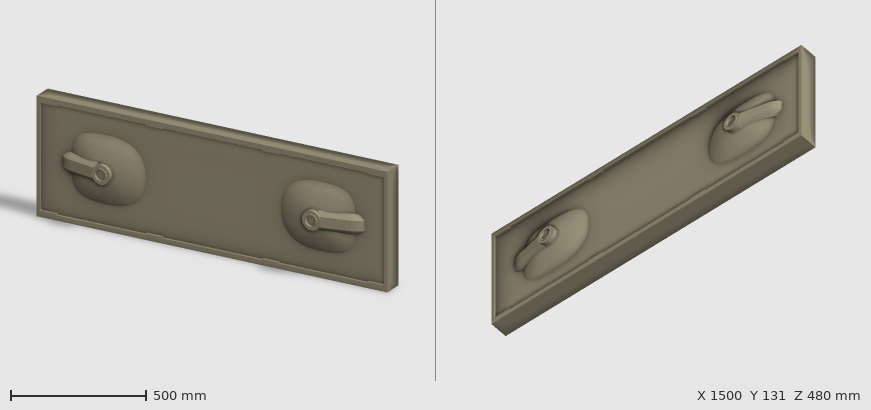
import cadquery as cq


LENGTH = 1500.0
WIDTH = 480.0
SLAB_THICKNESS = 81.0
RECESS_DEPTH = 12.0
SIDE_RIM = 14.0
LONG_RIM = 21.0
RECESS_CORNER_RADIUS = 6.0
PAD_HEIGHT = 5.0
CORNER_PAD_END = 665.0
MIDDLE_PAD_START = 215.0
MIDDLE_PAD_END = 284.0

DRAIN_SPACING = 900.0
BOWL_OFFSET = 3.0
BOWL_OUTER_REACH = 158.0
BOWL_INNER_REACH = 164.0
BOWL_HALF_WIDTH = 138.0
OUTER_FULLNESS = 0.81
INNER_FULLNESS = 0.66
BOWL_HEIGHT = 39.0
BOWL_SECTION_SCALES = (1.0, 0.9, 0.75, 0.55, 0.32)

DRAIN_BOTTOM_Y = -50.0
FLANGE_RADIUS = 44.0
FLANGE_THICKNESS = 3.0
DRAIN_RADIUS = 39.0
OUTLET_RADIUS = 27.0
OUTLET_LENGTH = 5.0
BORE_RADIUS = 22.0
BORE_DEPTH = 12.0

CHANNEL_TOP_HALF_WIDTH = 21.0
CHANNEL_EDGE_HALF_WIDTH = 30.0
CHANNEL_BASE_HALF_WIDTH = 40.0
CHANNEL_CHAMFER_DEPTH = 8.0
CHANNEL_SIDE_DEPTH = 18.0
CHANNEL_DEPTH = 45.0
CHANNEL_START = (25.0, -44.0)
CHANNEL_BEND = (148.0, -16.0)
CHANNEL_TIP_X = 196.0

FLOOR_Y = RECESS_DEPTH
SEAT_Y = FLOOR_Y - BOWL_HEIGHT * (1 - BOWL_SECTION_SCALES[-1] ** 2)


def cylinder(radius, start_y, end_y):
    """Cylinder about the Y axis between two Y levels."""
    axis = cq.Vector(0, end_y - start_y, 0)
    return cq.Workplane(cq.Solid.makeCylinder(radius, axis.Length, cq.Vector(0, start_y, 0), axis))


def make_slab():
    slab = cq.Workplane().box(LENGTH, SLAB_THICKNESS, WIDTH).translate((0, SLAB_THICKNESS / 2, 0))
    recess_length = LENGTH - 2 * SIDE_RIM
    recess_width = WIDTH - 2 * LONG_RIM
    recess = cq.Workplane().box(recess_length, RECESS_DEPTH, recess_width)
    pad_spans = (
        (MIDDLE_PAD_START, MIDDLE_PAD_END),
        (CORNER_PAD_END, recess_length / 2),
    )
    for start, end in pad_spans:
        for side in (-1, 1):
            for edge in (-1, 1):
                pad = cq.Workplane().box(end - start, RECESS_DEPTH, PAD_HEIGHT)
                pad_z = edge * (recess_width - PAD_HEIGHT) / 2
                recess = recess.cut(pad.translate((side * (start + end) / 2, 0, pad_z)))
    recess = recess.edges("(<X or >X) and |Y").fillet(RECESS_CORNER_RADIUS)
    return slab.cut(recess.translate((0, RECESS_DEPTH / 2, 0)))


def bowl_section(scale):
    """Bowl outline of four curves, shrunk towards its centre.

    The height above the recess floor falls with the square of the scale, so the bowl is parabolic.
    """
    y = FLOOR_Y - BOWL_HEIGHT * (1 - scale**2)
    outer_x = scale * BOWL_OUTER_REACH
    inner_x = -scale * BOWL_INNER_REACH
    half_width = scale * BOWL_HALF_WIDTH

    def quadrant(reach, side, fullness):
        points = (
            (reach, 0),
            (reach, fullness * half_width * side),
            (fullness * reach, half_width * side),
            (0, half_width * side),
        )
        return cq.Edge.makeBezier([cq.Vector(x, y, z) for x, z in points])

    return cq.Wire.assembleEdges(
        [
            quadrant(outer_x, 1, OUTER_FULLNESS),
            quadrant(inner_x, 1, INNER_FULLNESS),
            quadrant(inner_x, -1, INNER_FULLNESS),
            quadrant(outer_x, -1, OUTER_FULLNESS),
        ]
    )


def make_bowl():
    loft = cq.Solid.makeLoft([bowl_section(scale) for scale in BOWL_SECTION_SCALES])
    return cq.Workplane(loft).translate((BOWL_OFFSET, 0, 0))


def make_drain():
    outlet_start = DRAIN_BOTTOM_Y + OUTLET_LENGTH
    flange = cylinder(FLANGE_RADIUS, SEAT_Y, SEAT_Y - FLANGE_THICKNESS)
    barrel = cylinder(DRAIN_RADIUS, SEAT_Y, outlet_start)
    outlet = cylinder(OUTLET_RADIUS, outlet_start, DRAIN_BOTTOM_Y)
    bore = cylinder(BORE_RADIUS, DRAIN_BOTTOM_Y + BORE_DEPTH, DRAIN_BOTTOM_Y)
    return flange.union(barrel).union(outlet).cut(bore)


def channel_section():
    """Channel cross-section: a flat crown, two chamfers and flared sides; local Y points to the crown."""
    half_outline = [
        (CHANNEL_TOP_HALF_WIDTH, 0),
        (CHANNEL_EDGE_HALF_WIDTH, -CHANNEL_CHAMFER_DEPTH),
        (CHANNEL_BASE_HALF_WIDTH, -CHANNEL_SIDE_DEPTH),
        (CHANNEL_BASE_HALF_WIDTH, -CHANNEL_DEPTH),
    ]
    return half_outline + [(-x, y) for x, y in reversed(half_outline)]


def make_channel(bowl, drain):
    """Channel that slopes outwards from the drain and curves down to the recess floor."""
    crown_path = (
        cq.Workplane("XY")
        .moveTo(*CHANNEL_START)
        .lineTo(*CHANNEL_BEND)
        .tangentArcPoint((CHANNEL_TIP_X, FLOOR_Y), relative=False)
    )
    slope = cq.Vector(CHANNEL_BEND[0] - CHANNEL_START[0], CHANNEL_BEND[1] - CHANNEL_START[1], 0)
    start_plane = cq.Plane(origin=(*CHANNEL_START, 0), xDir=(0, 0, 1), normal=slope.toTuple())
    channel = cq.Workplane(start_plane).polyline(channel_section()).close().sweep(crown_path)
    below_floor = cq.Workplane().box(LENGTH, LENGTH, WIDTH).translate((0, FLOOR_Y + LENGTH / 2, 0))
    return channel.cut(below_floor).cut(bowl).cut(drain)


slab = make_slab()
bowl = make_bowl()
drain = make_drain()
channel = make_channel(bowl, drain)

basin_solids = []
for part in (bowl, drain, channel):
    right_part = part.translate((DRAIN_SPACING / 2, 0, 0))
    basin_solids += [right_part.val(), right_part.mirror("YZ").val()]

result = cq.Compound.makeCompound([slab.val(), *basin_solids])